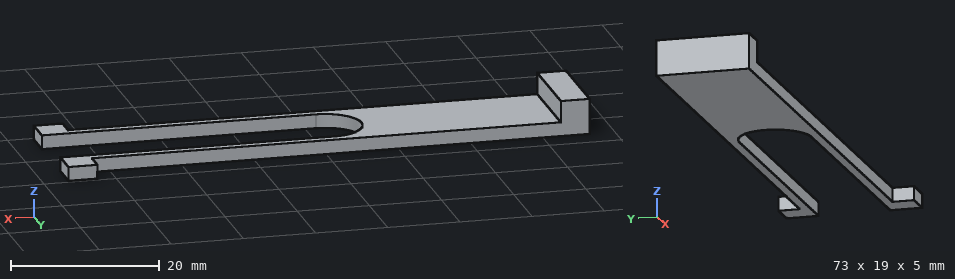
import cadquery as cq

length = 73.0
body_width = 13.0
thickness = 2.0
head_length = 4.0
head_height = 5.0
slot_width = 10.0
slot_start = 30.0
hook_length = 4.0
hook_span = 19.0

slot_radius = slot_width / 2
slot_center_x = slot_start + slot_radius


def block(x_start, x_size, y_size, height):
    """Box resting on Z = 0 and centred on Y = 0."""
    return (
        cq.Workplane("XY")
        .box(x_size, y_size, height, centered=(False, True, False))
        .translate((x_start, 0, 0))
    )


strip = block(0, length, body_width, thickness)
head = block(0, head_length, body_width, head_height)
crossbar = block(length - hook_length, hook_length, hook_span, thickness)

slot_end = cq.Workplane("XY").center(slot_center_x, 0).circle(slot_radius).extrude(thickness)
slot_run = block(slot_center_x, length - slot_center_x, slot_width, thickness)

result = strip.union(head).union(crossbar).cut(slot_end.union(slot_run))